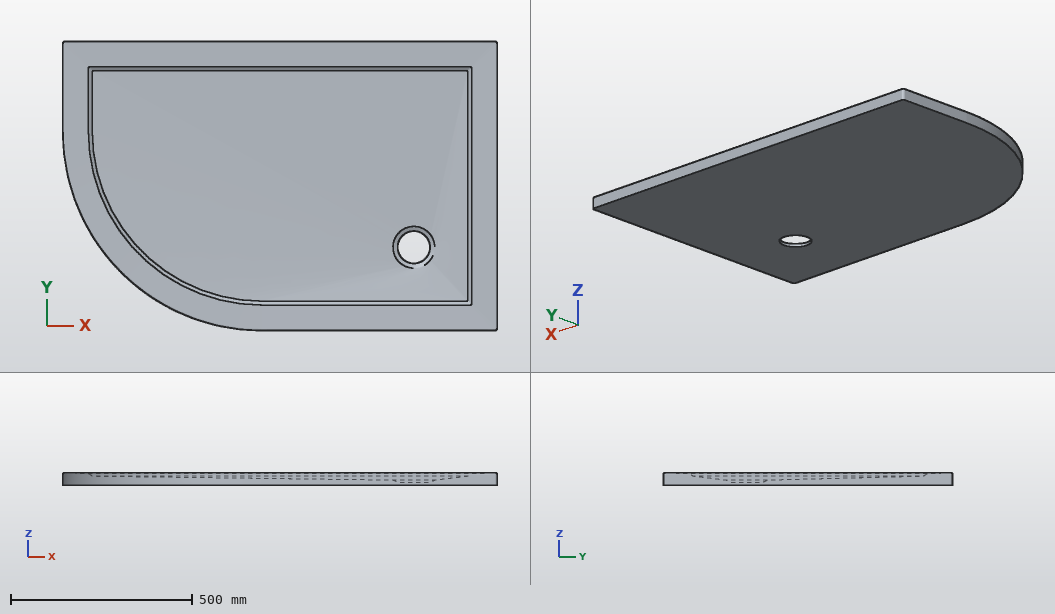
import cadquery as cq
import math

LENGTH = 1199.0
WIDTH = 799.0
HEIGHT = 35.0
SWEEP_RADIUS = 549.0
CORNER_RADIUS = 7.0
EDGE_ROUND = 5.0

RIM_WIDTH = 71.0
RIM_FALL = 1.8
WALL_RUN = 11.0
WALL_DROP = 7.0
RIM_INNER_CORNER = 4.0
BASIN_CORNER = 4.0

DRAIN_INSET = 230.0
DRAIN_X = LENGTH - DRAIN_INSET
DRAIN_Y = DRAIN_INSET
DRAIN_RADIUS = 58.0
HOLE_RADIUS = 44.0
FLOOR_FALL = 11.0
DRAIN_DROP = 6.0
CREASE_SPREAD = 1.5

CREASE_BACK_RIGHT = 36.0
CREASE_BACK_LEFT = 154.0
CREASE_SWEEP_LEFT = 171.0
CREASE_SWEEP_FRONT = 246.5
CREASE_FRONT_RIGHT = 322.0

RIM_INNER_Z = HEIGHT - RIM_FALL
BASIN_Z = RIM_INNER_Z - WALL_DROP
DRAIN_Z = BASIN_Z - FLOOR_FALL
HOLE_Z = DRAIN_Z - DRAIN_DROP


def arc_edge(x, y, z, radius, start, end):
    """Horizontal arc given by its centre, radius and angles in degrees."""
    points = []
    for angle in (start, (start + end) / 2, end):
        turn = math.radians(angle)
        points.append(cq.Vector(x + radius * math.cos(turn), y + radius * math.sin(turn), z))
    return cq.Edge.makeThreePointArc(*points)


def tray_loop(inset, corner, z):
    """Four arcs and four lines, counter-clockwise from the front-right corner."""
    near = inset + corner
    right = LENGTH - near
    back = WIDTH - near
    arcs = [
        arc_edge(right, near, z, corner, 270, 360),
        arc_edge(right, back, z, corner, 0, 90),
        arc_edge(near, back, z, corner, 90, 180),
        arc_edge(SWEEP_RADIUS, SWEEP_RADIUS, z, SWEEP_RADIUS - inset, 180, 270),
    ]
    edges = []
    for arc, following in zip(arcs, arcs[1:] + arcs[:1]):
        edges.append(arc)
        edges.append(cq.Edge.makeLine(arc.endPoint(), following.startPoint()))
    return edges


def drain_loop(radius, z):
    """Circle divided into eight arcs that match the edges of a tray loop."""
    half = CREASE_SPREAD / 2
    angles = [CREASE_FRONT_RIGHT - 360 - half, CREASE_FRONT_RIGHT - 360 + half]
    for crease in (CREASE_BACK_RIGHT, CREASE_BACK_LEFT):
        angles += [crease - half, crease + half]
    angles += [CREASE_SWEEP_LEFT, CREASE_SWEEP_FRONT, angles[0] + 360]
    return [arc_edge(DRAIN_X, DRAIN_Y, z, radius, a, b) for a, b in zip(angles, angles[1:])]


def make_tray():
    """Closed skin of ruled bands from the underside, over the rim, and down the drain."""
    loops = [
        tray_loop(0, CORNER_RADIUS, 0),
        tray_loop(0, CORNER_RADIUS, HEIGHT),
        tray_loop(RIM_WIDTH, RIM_INNER_CORNER, RIM_INNER_Z),
        tray_loop(RIM_WIDTH + WALL_RUN, BASIN_CORNER, BASIN_Z),
        drain_loop(DRAIN_RADIUS, DRAIN_Z),
        drain_loop(HOLE_RADIUS, HOLE_Z),
        drain_loop(HOLE_RADIUS, 0),
    ]
    faces = []
    for first, second in zip(loops, loops[1:]):
        for edge, matching in zip(first, second):
            faces.append(cq.Face.makeRuledSurface(edge, matching))

    outline = cq.Wire.assembleEdges(loops[0])
    hole = cq.Wire.assembleEdges(loops[-1])
    faces.append(cq.Face.makeFromWires(outline, [hole]))
    return cq.Workplane(cq.Solid.makeSolid(cq.Shell.makeShell(faces)).fix())


top_edge = cq.selectors.BoxSelector(
    (-12, -12, HEIGHT - RIM_FALL / 2), (LENGTH + 12, WIDTH + 12, HEIGHT + 12), boundingbox=True
)
result = make_tray().edges(top_edge).fillet(EDGE_ROUND)